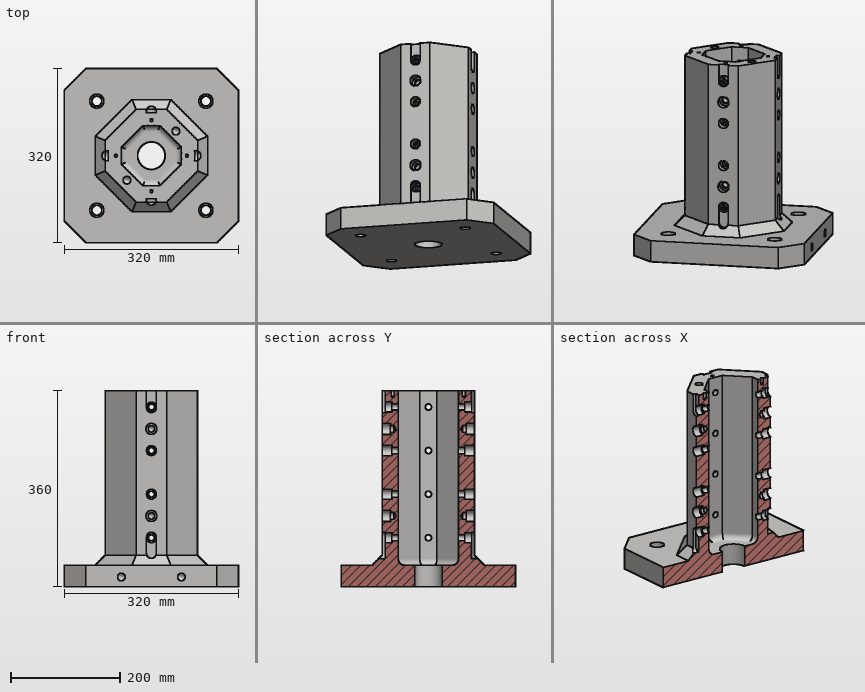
import cadquery as cq
import math

BASE_SIDE = 320.0
BASE_THICKNESS = 40.0
BASE_CORNER = 40.0

HEIGHT = 360
COLUMN_ACROSS = 170.0
COLUMN_FACE = 56.0
FLARE = 18
FLARE_ANGLE = 45
OCTAGON_TURN = 45

CAVITY_ACROSS = 110.0
CAVITY_FACE = 31.5
CAVITY_FLOOR = BASE_THICKNESS
CAVITY_FILLET = 11.0
FLOOR_HOLE_DIAMETER = 50.0

ROW_MIDDLE = 210.0
THROUGH_HOLE_OFFSETS = (40.0, 120.0)
BLIND_HOLE_OFFSET = 80.0
THROUGH_DIAMETER = 10.8
THROUGH_BORE_DIAMETER = 18
THROUGH_BORE_DEPTH = 18
BLIND_DIAMETER = 12.0
BLIND_DEPTH = 21.5
BLIND_BORE_DIAMETER = 20.0
BLIND_BORE_DEPTH = 15.0

SLOT_WIDTH = THROUGH_BORE_DIAMETER
SLOT_DEPTH = 5.8
SLOT_LENGTH = 30.0
SLOT_OVERRUN = 1.0

DRILL_POINT_ANGLE = 118
PLAIN_HOLE_DIAMETER = 14.0
PLAIN_HOLE_DEPTH = 28.8
SIDE_HOLE_X = 55.0
SIDE_HOLE_Z = 18
RIM_HOLE_XY = 45.0
PIN_DIAMETER = 5.0
PIN_DEPTH = 10.8
PIN_RADIUS = 65.0
MOUNT_XY = 100.0
MOUNT_DIAMETER = 18
MOUNT_BORE_DIAMETER = 26.0
MOUNT_BORE_DEPTH = 21.5


def octagon(across, face):
    """Octagon whose faces square to X and Y have one width and whose diagonal faces another."""
    a = across / 2
    f = face / 2
    corners = [(a, -f), (a, f), (f, a), (-f, a), (-a, f), (-a, -f), (-f, -a), (f, -a)]
    return cq.Workplane("XY").polyline(corners).close()


def cylinder(diameter, depth, mouth, direction):
    """Round cutter going from the mouth along the direction."""
    return cq.Workplane(cq.Solid.makeCylinder(diameter / 2, depth, cq.Vector(*mouth), cq.Vector(*direction)))


def drill(diameter, depth, mouth, direction):
    """Round cutter ending in a conical drill point beyond its full-diameter depth."""
    axis = cq.Vector(*direction)
    tip_start = cq.Vector(*mouth) + axis * depth
    tip_length = diameter / 2 / math.tan(math.radians(DRILL_POINT_ANGLE / 2))
    tip = cq.Solid.makeCone(diameter / 2, 0, tip_length, tip_start, axis)
    return cylinder(diameter, depth, mouth, direction).union(cq.Workplane(tip))


def make_body():
    base = cq.Workplane("XY").box(BASE_SIDE, BASE_SIDE, BASE_THICKNESS, centered=(True, True, False))
    base = base.edges("|Z").chamfer(BASE_CORNER)
    column = octagon(COLUMN_ACROSS, COLUMN_FACE).extrude(HEIGHT)
    flare_face = COLUMN_FACE + 2 * FLARE * math.tan(math.radians(OCTAGON_TURN / 2))
    flare = octagon(COLUMN_ACROSS + 2 * FLARE, flare_face).extrude(FLARE, taper=FLARE_ANGLE)
    return base.union(column).union(flare.translate((0, 0, BASE_THICKNESS)))


def make_cavity():
    cavity = octagon(CAVITY_ACROSS, CAVITY_FACE).extrude(HEIGHT - CAVITY_FLOOR)
    cavity = cavity.faces("<Z").edges().fillet(CAVITY_FILLET)
    floor_hole = cylinder(FLOOR_HOLE_DIAMETER, HEIGHT, (0, 0, 0), (0, 0, 1))
    return cavity.translate((0, 0, CAVITY_FLOOR)).union(floor_hole)


def make_slot(side):
    """Slot in the -Y face from an outermost hole; side is 1 for the top hole and -1 for the bottom one."""
    slot_z = ROW_MIDDLE + side * (THROUGH_HOLE_OFFSETS[-1] - SLOT_OVERRUN + SLOT_LENGTH / 2)
    return (
        cq.Workplane("XZ", origin=(0, SLOT_DEPTH - COLUMN_ACROSS / 2, slot_z))
        .slot2D(SLOT_LENGTH + SLOT_WIDTH, SLOT_WIDTH, 90)
        .extrude(SLOT_DEPTH + FLARE)
    )


def make_face_holes():
    """Holes and slots of the column's -Y face."""
    face_y = -COLUMN_ACROSS / 2
    inward = (0, 1, 0)
    cutter = make_slot(1).union(make_slot(-1))
    for side in (1, -1):
        for offset in THROUGH_HOLE_OFFSETS:
            mouth = (0, face_y, ROW_MIDDLE + side * offset)
            cutter = cutter.union(cylinder(THROUGH_DIAMETER, COLUMN_ACROSS / 2, mouth, inward))
            cutter = cutter.union(cylinder(THROUGH_BORE_DIAMETER, THROUGH_BORE_DEPTH, mouth, inward))
        mouth = (0, face_y, ROW_MIDDLE + side * BLIND_HOLE_OFFSET)
        cutter = cutter.union(drill(BLIND_DIAMETER, BLIND_DEPTH, mouth, inward))
        cutter = cutter.union(cylinder(BLIND_BORE_DIAMETER, BLIND_BORE_DEPTH, mouth, inward))
    return cutter


down = (0, 0, -1)
result = make_body().cut(make_cavity())

face_holes = make_face_holes()
for quarter in range(4):
    result = result.cut(face_holes.rotate((0, 0, 0), (0, 0, 1), 90 * quarter))

for x, y in ((PIN_RADIUS, 0), (0, PIN_RADIUS), (-PIN_RADIUS, 0), (0, -PIN_RADIUS)):
    result = result.cut(drill(PIN_DIAMETER, PIN_DEPTH, (x, y, HEIGHT), down))

for side in (1, -1):
    rim_mouth = (side * RIM_HOLE_XY, side * RIM_HOLE_XY, HEIGHT)
    result = result.cut(drill(PLAIN_HOLE_DIAMETER, PLAIN_HOLE_DEPTH, rim_mouth, down))
    base_mouth = (side * SIDE_HOLE_X, -BASE_SIDE / 2, SIDE_HOLE_Z)
    result = result.cut(drill(PLAIN_HOLE_DIAMETER, PLAIN_HOLE_DEPTH, base_mouth, (0, 1, 0)))

for x in (MOUNT_XY, -MOUNT_XY):
    for y in (MOUNT_XY, -MOUNT_XY):
        mouth = (x, y, BASE_THICKNESS)
        result = result.cut(cylinder(MOUNT_DIAMETER, BASE_THICKNESS, mouth, down))
        result = result.cut(cylinder(MOUNT_BORE_DIAMETER, MOUNT_BORE_DEPTH, mouth, down))